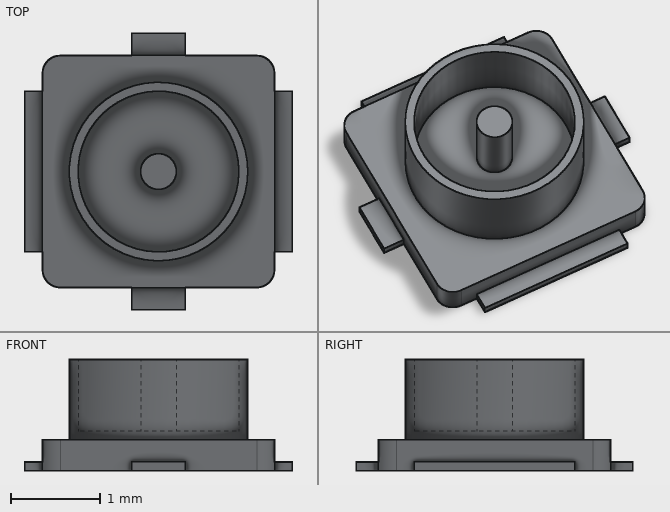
import cadquery as cq

length_x = 3.0
length_y = 3.1
height = 1.25

base_side = 2.6
base_height = 0.35
corner_radius = 0.2

tab_thickness = 0.1
side_tab_width = 1.8
end_tab_width = 0.6

shell_outer_diameter = 2.0
shell_inner_diameter = 1.8
cavity_depth = 0.8
pin_diameter = 0.4


def plate(size_x, size_y, thickness):
    """Rectangular plate centred on the Z axis, resting on Z = 0."""
    return cq.Workplane("XY").box(size_x, size_y, thickness, centered=(True, True, False))


base = plate(base_side, base_side, base_height).edges("|Z").fillet(corner_radius)
side_tabs = plate(length_x, side_tab_width, tab_thickness)
end_tabs = plate(end_tab_width, length_y, tab_thickness)

shell = cq.Workplane("XY").circle(shell_outer_diameter / 2).extrude(height)

cavity = (
    cq.Workplane("XY", origin=(0, 0, height - cavity_depth))
    .circle(shell_inner_diameter / 2)
    .circle(pin_diameter / 2)
    .extrude(cavity_depth)
)

result = base.union(side_tabs).union(end_tabs).union(shell).cut(cavity)